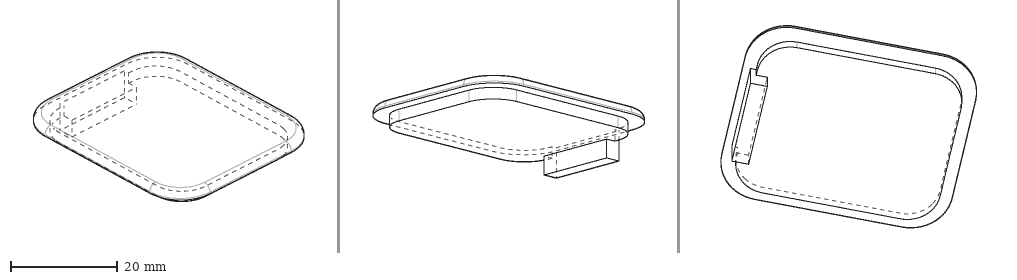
import cadquery as cq

length = 44.45
width = 37.3
total_height = 7.8

plate_thickness = 1.85
plate_corner_radius = 8.0
plate_edge_radius = 1.5

plug_length = 39.28
plug_width = 31.65
plug_depth = 2.25
plug_corner_radius = 6.3

tab_thickness = 3.25
tab_width = 16.97
tab_inset = 1.45
tab_height = total_height - plate_thickness
tab_center_x = -length / 2 + tab_inset + tab_thickness / 2


def rounded_block(size_x, size_y, height, corner_radius):
    """Block standing on Z = 0 with rounded vertical edges."""
    block = cq.Workplane("XY").box(size_x, size_y, height, centered=(True, True, False))
    return block.edges("|Z").fillet(corner_radius)


def cover_plate():
    plate = rounded_block(length, width, plate_thickness, plate_corner_radius)
    return plate.faces(">Z").edges().fillet(plate_edge_radius)


def plug():
    block = rounded_block(plug_length, plug_width, plug_depth, plug_corner_radius)
    return block.translate((0, 0, -plug_depth))


def tab():
    block = cq.Workplane("XY").box(tab_thickness, tab_width, tab_height, centered=(True, True, False))
    return block.translate((tab_center_x, 0, -tab_height))


result = cover_plate().union(plug()).union(tab())